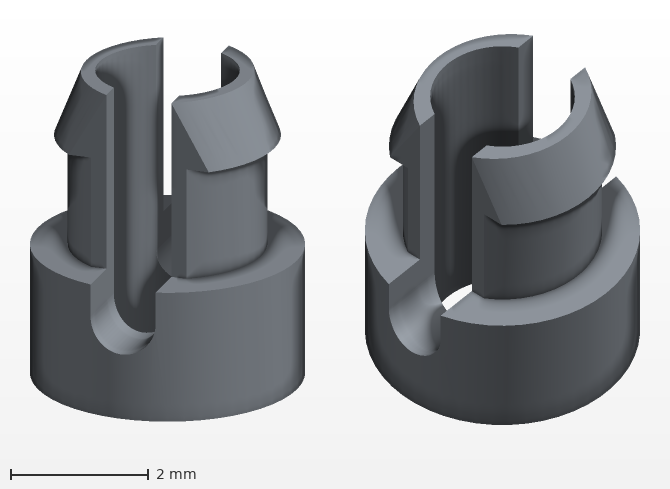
import cadquery as cq
import math

total_height = 4.7
base_diameter = 4.0
base_height = 2.0
bore_diameter = 2.1
shank_diameter = 2.9
flat_width = 2.5
barb_height = 1.0
barb_diameter = 3.3
tip_width = 2.5
slot_width = 1.0
slot_floor = 1.0

barb_bottom = total_height - barb_height
half_flat = flat_width / 2
slot_radius = slot_width / 2
slot_center_height = slot_floor + slot_radius
barb_radius = barb_diameter / 2
barb_flat_end = math.sqrt(barb_radius**2 - half_flat**2)


def make_base():
    return cq.Workplane("XY").circle(base_diameter / 2).extrude(base_height)


def make_shank():
    """Round shank with flats on its two Y sides."""
    shank = cq.Workplane("XY").circle(shank_diameter / 2).extrude(barb_bottom)
    flats = cq.Workplane("XY").rect(base_diameter, flat_width).extrude(barb_bottom)
    return shank.intersect(flats)


def barb_outline(plane, flat_end, crest):
    """Half section on the +X side: two flats joined by an outward arc."""
    return (
        plane.moveTo(0, -half_flat)
        .lineTo(flat_end, -half_flat)
        .threePointArc((crest, 0), (flat_end, half_flat))
        .lineTo(0, half_flat)
        .close()
    )


def make_barb():
    """Tapered +X barb; its top arc meets the flats at the slot walls."""
    lower = barb_outline(cq.Workplane("XY", origin=(0, 0, barb_bottom)), barb_flat_end, barb_radius)
    upper_plane = lower.workplane(offset=barb_height)
    return barb_outline(upper_plane, slot_radius, tip_width / 2).loft(ruled=True)


def make_slot():
    """Round-bottomed slot running through along Y and open at the top."""
    round_bottom = (
        cq.Workplane("XZ")
        .center(0, slot_center_height)
        .circle(slot_radius)
        .extrude(base_diameter / 2, both=True)
    )
    straight = (
        cq.Workplane("XY", origin=(0, 0, slot_center_height))
        .rect(slot_width, base_diameter)
        .extrude(total_height - slot_center_height)
    )
    return round_bottom.union(straight)


right_barb = make_barb()
left_barb = right_barb.mirror("YZ")
bore = cq.Workplane("XY").circle(bore_diameter / 2).extrude(total_height)

body = make_base().union(make_shank()).union(right_barb).union(left_barb)
result = body.cut(bore).cut(make_slot())